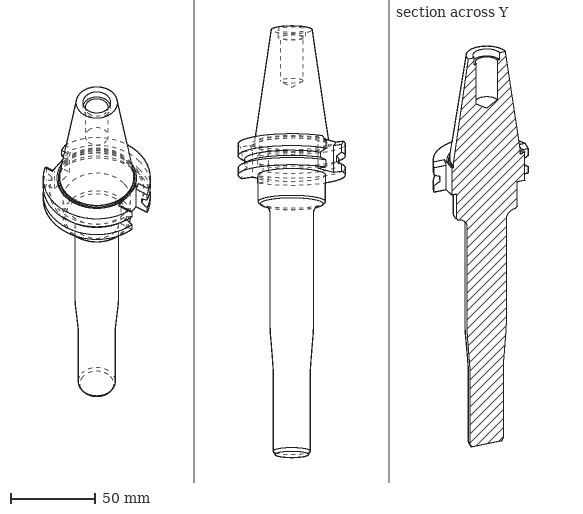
import cadquery as cq
import math

TOTAL_HEIGHT = 256.2
TAPER_BASE_Z = 188.0
FLANGE_TOP_Z = 187.3
FLANGE_BOTTOM_Z = 168.5
COLLAR_BOTTOM_Z = 151.2
UPPER_BREAK_Z = 75.0
LOWER_BREAK_Z = 50.5

TAPER_BASE_RADIUS = 44.3 / 2
TAPER_RATIO = 7 / 24
TAPER_TOP_RADIUS = TAPER_BASE_RADIUS - (TOTAL_HEIGHT - TAPER_BASE_Z) * TAPER_RATIO / 2

NECK_RADIUS = 43.8 / 2
RECESS_RADIUS = 23.5
RECESS_FLOOR_RADIUS = 22.8
RECESS_DEPTH = 0.8

FLANGE_RADIUS = 63.5 / 2
GROOVE_FLOOR_RADIUS = 28.0
GROOVE_MID_Z = 176.5
GROOVE_FLOOR_HEIGHT = 3.0
GROOVE_FLANK_HEIGHT = 2.0

SLOT_WIDTH = 16.0
SLOT_CHAMFER = 2.5
SLOT_FLOOR_LEFT = 24.9
SLOT_FLOOR_RIGHT = 22.8

COLLAR_RADIUS = 40.0 / 2
COLLAR_CHAMFER = 1.3
NECK_FILLET = 5.6
UPPER_SHANK_RADIUS = 26.0 / 2
LOWER_SHANK_RADIUS = 22.0 / 2
BLEND_LENGTH = 1.92
TIP_CHAMFER_HEIGHT = 2.0
TIP_CHAMFER_WIDTH = 1.0

COUNTERBORE_RADIUS = 16.5 / 2
COUNTERBORE_DEPTH = 4.5
BORE_RADIUS = 13.5 / 2
BORE_DEPTH = 30.8
DRILL_POINT_ANGLE = 118


def make_body():
    """Revolve the outside profile, including the blends of the conical shank."""
    groove_half = GROOVE_FLOOR_HEIGHT / 2
    groove_half_mouth = groove_half + GROOVE_FLANK_HEIGHT
    cone_length = UPPER_BREAK_Z - LOWER_BREAK_Z
    cone_angle = math.atan2(UPPER_SHANK_RADIUS - LOWER_SHANK_RADIUS, cone_length)
    blend_dr = BLEND_LENGTH * math.sin(cone_angle)
    blend_dz = BLEND_LENGTH * math.cos(cone_angle)
    profile = (
        cq.Workplane("XZ")
        .lineTo(LOWER_SHANK_RADIUS - TIP_CHAMFER_WIDTH, 0)
        .lineTo(LOWER_SHANK_RADIUS, TIP_CHAMFER_HEIGHT)
        .lineTo(LOWER_SHANK_RADIUS, LOWER_BREAK_Z - BLEND_LENGTH)
        .tangentArcPoint((LOWER_SHANK_RADIUS + blend_dr, LOWER_BREAK_Z + blend_dz), relative=False)
        .lineTo(UPPER_SHANK_RADIUS - blend_dr, UPPER_BREAK_Z - blend_dz)
        .tangentArcPoint((UPPER_SHANK_RADIUS, UPPER_BREAK_Z + BLEND_LENGTH), relative=False)
        .lineTo(UPPER_SHANK_RADIUS, COLLAR_BOTTOM_Z - NECK_FILLET)
        .tangentArcPoint((UPPER_SHANK_RADIUS + NECK_FILLET, COLLAR_BOTTOM_Z), relative=False)
        .lineTo(COLLAR_RADIUS - COLLAR_CHAMFER, COLLAR_BOTTOM_Z)
        .lineTo(COLLAR_RADIUS, COLLAR_BOTTOM_Z + COLLAR_CHAMFER)
        .lineTo(COLLAR_RADIUS, FLANGE_BOTTOM_Z)
        .lineTo(FLANGE_RADIUS, FLANGE_BOTTOM_Z)
        .lineTo(FLANGE_RADIUS, GROOVE_MID_Z - groove_half_mouth)
        .lineTo(GROOVE_FLOOR_RADIUS, GROOVE_MID_Z - groove_half)
        .lineTo(GROOVE_FLOOR_RADIUS, GROOVE_MID_Z + groove_half)
        .lineTo(FLANGE_RADIUS, GROOVE_MID_Z + groove_half_mouth)
        .lineTo(FLANGE_RADIUS, FLANGE_TOP_Z)
        .lineTo(RECESS_RADIUS, FLANGE_TOP_Z)
        .lineTo(RECESS_FLOOR_RADIUS, FLANGE_TOP_Z - RECESS_DEPTH)
        .lineTo(NECK_RADIUS, FLANGE_TOP_Z - RECESS_DEPTH)
        .lineTo(NECK_RADIUS, TAPER_BASE_Z)
        .lineTo(TAPER_BASE_RADIUS, TAPER_BASE_Z)
        .lineTo(TAPER_TOP_RADIUS, TOTAL_HEIGHT)
        .lineTo(0, TOTAL_HEIGHT)
        .close()
    )
    return profile.revolve(360, (0, 0), (0, 1))


def make_bore():
    """Counterbored hole with a conical drill point."""
    point_depth = BORE_RADIUS / math.tan(math.radians(DRILL_POINT_ANGLE / 2))
    shoulder_z = TOTAL_HEIGHT - COUNTERBORE_DEPTH
    bore_end_z = TOTAL_HEIGHT - BORE_DEPTH
    return (
        cq.Workplane("XZ")
        .moveTo(0, TOTAL_HEIGHT)
        .lineTo(COUNTERBORE_RADIUS, TOTAL_HEIGHT)
        .lineTo(COUNTERBORE_RADIUS, shoulder_z)
        .lineTo(BORE_RADIUS, shoulder_z)
        .lineTo(BORE_RADIUS, bore_end_z)
        .lineTo(0, bore_end_z - point_depth)
        .close()
        .revolve(360, (0, 0), (0, 1))
    )


def make_slot(floor_distance, side):
    """Drive slot with chamfered upper edges; side is +1 for +X and -1 for -X."""
    half = SLOT_WIDTH / 2
    half_mouth = half + SLOT_CHAMFER
    return (
        cq.Workplane("YZ", origin=(side * floor_distance, 0, 0))
        .moveTo(-half, FLANGE_BOTTOM_Z)
        .lineTo(half, FLANGE_BOTTOM_Z)
        .lineTo(half, FLANGE_TOP_Z - SLOT_CHAMFER)
        .lineTo(half_mouth, FLANGE_TOP_Z)
        .lineTo(half_mouth, TAPER_BASE_Z)
        .lineTo(-half_mouth, TAPER_BASE_Z)
        .lineTo(-half_mouth, FLANGE_TOP_Z)
        .lineTo(-half, FLANGE_TOP_Z - SLOT_CHAMFER)
        .close()
        .extrude(side * FLANGE_RADIUS)
    )


result = (
    make_body()
    .cut(make_bore())
    .cut(make_slot(SLOT_FLOOR_LEFT, -1))
    .cut(make_slot(SLOT_FLOOR_RIGHT, 1))
)